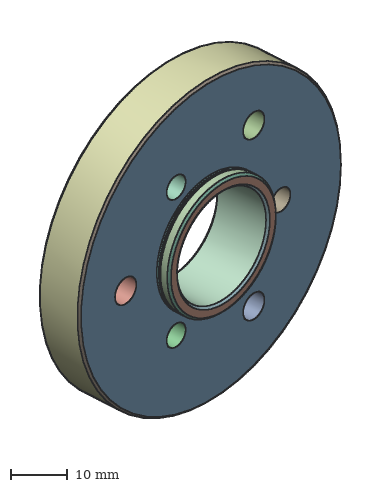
import cadquery as cq

disc_diameter = 68.0
disc_thickness = 10.0
edge_chamfer = 0.5

spigot_diameter = 28.0
spigot_length = 3.0
groove_diameter = 27.6
groove_width = 0.9
groove_taper = 0.3

bore_diameter = 23.0
recess_diameter = spigot_diameter
recess_depth = 0.3
recess_taper_width = 0.55

small_hole_diameter = 4.9
small_hole_circle_radius = 18.0
small_hole_start_angle = 0
large_hole_diameter = 5.5
large_hole_circle_radius = 22.0
large_hole_start_angle = 60
holes_per_set = 3


def turned_body():
    """Disc, spigot, bore and recess as one half profile revolved about X."""
    disc_radius = disc_diameter / 2
    spigot_radius = spigot_diameter / 2
    groove_radius = groove_diameter / 2
    bore_radius = bore_diameter / 2
    recess_radius = recess_diameter / 2
    groove_end = disc_thickness + groove_width
    total_length = disc_thickness + spigot_length
    profile = [
        (0, recess_radius),
        (0, disc_radius - edge_chamfer),
        (edge_chamfer, disc_radius),
        (disc_thickness - edge_chamfer, disc_radius),
        (disc_thickness, disc_radius - edge_chamfer),
        (disc_thickness, spigot_radius),
        (disc_thickness + groove_taper, groove_radius),
        (groove_end - groove_taper, groove_radius),
        (groove_end, spigot_radius),
        (total_length - edge_chamfer, spigot_radius),
        (total_length, spigot_radius - edge_chamfer),
        (total_length, bore_radius + edge_chamfer),
        (total_length - edge_chamfer, bore_radius),
        (recess_depth + edge_chamfer, bore_radius),
        (recess_depth, bore_radius + edge_chamfer),
        (recess_depth, recess_radius - recess_taper_width),
    ]
    return cq.Workplane("XY").polyline(profile).close().revolve(360, (0, 0, 0), (1, 0, 0))


def hole_set(diameter, circle_radius, start_angle):
    """Evenly spaced cylinders through the disc; angles run from +Y toward +Z."""
    return (
        cq.Workplane("YZ")
        .polarArray(circle_radius, start_angle, 360, holes_per_set)
        .circle(diameter / 2)
        .extrude(disc_thickness)
    )


small_holes = hole_set(small_hole_diameter, small_hole_circle_radius, small_hole_start_angle)
large_holes = hole_set(large_hole_diameter, large_hole_circle_radius, large_hole_start_angle)
result = turned_body().cut(small_holes).cut(large_holes)